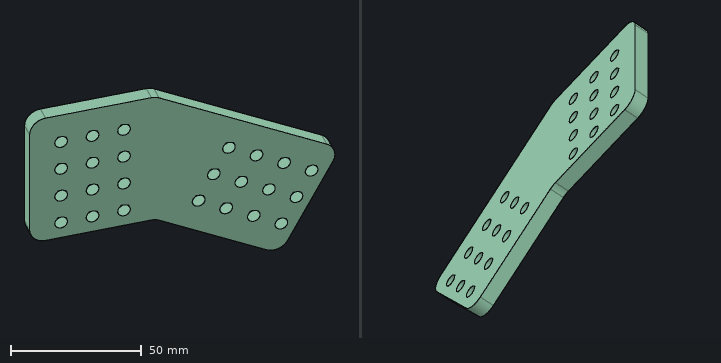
import cadquery as cq
import math

thickness = 6.4
overall_length = 123.2
hole_pitch = 12.7
hole_diameter = 5.0
corner_radius = 6.4
bend_angle = math.radians(28.8)

panel_length = 4 * hole_pitch
arm_width = 4 * hole_pitch
panel_height = arm_width / math.cos(bend_angle)

corner_reach = (
    overall_length
    - corner_radius
    - panel_length
    - (arm_width - corner_radius) * math.sin(bend_angle)
) / math.cos(bend_angle)
arm_length = corner_reach + corner_radius


def arm_point(along, across):
    """(y, z) of a point measured along and across the arm from the lower bend corner."""
    y = panel_length + along * math.cos(bend_angle) + across * math.sin(bend_angle)
    z = across * math.cos(bend_angle) - along * math.sin(bend_angle)
    return y, z


def make_plate():
    """Bent outline in the YZ plane, with every corner rounded."""
    outline = [
        (0, 0),
        (panel_length, 0),
        arm_point(arm_length, 0),
        arm_point(arm_length, arm_width),
        (panel_length, panel_height),
        (0, panel_height),
    ]
    plate = cq.Workplane("YZ").polyline(outline).close().extrude(thickness)
    return plate.edges("|X").fillet(corner_radius)


def panel_holes():
    """Three columns of four holes, set out from the outer and top edges."""
    return [
        (column * hole_pitch, panel_height - row * hole_pitch)
        for column in range(1, 4)
        for row in range(1, 5)
    ]


def arm_holes():
    """Four columns of three holes, starting at the corner centre line near the arm's end."""
    return [
        arm_point(corner_reach - column * hole_pitch, row * hole_pitch)
        for column in range(4)
        for row in range(1, 4)
    ]


hole_pins = (
    cq.Workplane("YZ")
    .pushPoints(panel_holes() + arm_holes())
    .circle(hole_diameter / 2)
    .extrude(thickness)
)

result = make_plate().cut(hole_pins)